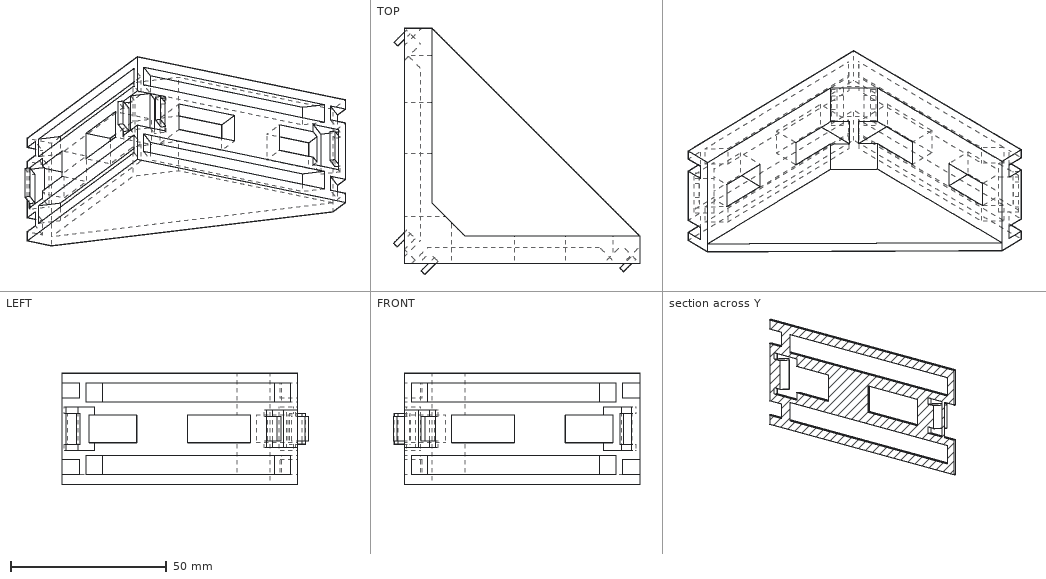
import cadquery as cq

LEG_LENGTH = 76.0
LEG_THICKNESS = 8.85
HEIGHT = 36.0
MID_HEIGHT = HEIGHT / 2
CORNER_GUSSET_REACH = 19.6
RIM = 3.25
WEB_THICKNESS = RIM

GROOVE_START = 2.3
GROOVE_END = 68.2
GROOVE_HEIGHT = 6.15
GROOVE_DEPTH = 5.2

NOTCH_SIZE = 5.6
NOTCH_HEIGHT = 4.85

WINDOWS = [(15.25, 35.45), (51.9, 67.2)]
WINDOW_HEIGHT = 8.9

TAB_DIAGONAL = 2.4
TAB_INSET = 2.0

CORNER_BEVEL = 4.6
CORNER_POCKET_EDGE = 10.1
CORNER_POCKET_FLOOR_LEVEL = 11.6
CORNER_POCKET_HEIGHT = 12.0
CORNER_TAB_PROTRUSION = 3.54
CORNER_TAB_TIP_LEVEL = CORNER_POCKET_EDGE - 2 * CORNER_TAB_PROTRUSION

X_LEG_END_POCKET_EDGE = 73.3
Y_LEG_END_POCKET_EDGE = 74.7
END_POCKET_WIDTH = 9.15
END_POCKET_FLOOR_LEVEL = 76
END_POCKET_HEIGHT = 14.0
END_TAB_TIP_LEVEL = 68.05


def prism(points, bottom, height):
    """Vertical prism over an XY polygon."""
    return cq.Workplane("XY").workplane(offset=bottom).polyline(points).close().extrude(height)


def leg_prism(points, bottom, height, on_x_leg):
    """Vertical prism over an (along, depth) polygon on one of the two legs."""
    if not on_x_leg:
        points = [(depth, along) for along, depth in points]
    return prism(points, bottom, height)


def diagonal_bar(near_edge, far_edge, outer_level, inner_level, height, on_x_leg):
    """Mid-height bar at 45 degrees; its sides cross the outer face at the two edges."""
    corners = [
        (near_edge, outer_level),
        (near_edge, inner_level),
        (far_edge, inner_level),
        (far_edge, outer_level),
    ]
    points = [((level + edge) / 2, (level - edge) / 2) for edge, level in corners]
    return leg_prism(points, MID_HEIGHT - height / 2, height, on_x_leg)


def make_body():
    legs = prism(
        [
            (0, 0),
            (LEG_LENGTH, 0),
            (LEG_LENGTH, LEG_THICKNESS),
            (CORNER_GUSSET_REACH, LEG_THICKNESS),
            (LEG_THICKNESS, CORNER_GUSSET_REACH),
            (LEG_THICKNESS, LEG_LENGTH),
            (0, LEG_LENGTH),
        ],
        0,
        HEIGHT,
    )
    web = prism(
        [
            (0, 0),
            (LEG_LENGTH, 0),
            (LEG_LENGTH, LEG_THICKNESS),
            (LEG_THICKNESS, LEG_LENGTH),
            (0, LEG_LENGTH),
        ],
        0,
        WEB_THICKNESS,
    )
    return legs.union(web)


def cut_grooves(body, on_x_leg):
    outline = [
        (GROOVE_START, 0),
        (GROOVE_END, 0),
        (GROOVE_END - GROOVE_DEPTH, GROOVE_DEPTH),
        (GROOVE_START + GROOVE_DEPTH, GROOVE_DEPTH),
    ]
    for bottom in (RIM, HEIGHT - RIM - GROOVE_HEIGHT):
        body = body.cut(leg_prism(outline, bottom, GROOVE_HEIGHT, on_x_leg))
    return body


def cut_end_notches(body, on_x_leg):
    outline = [(LEG_LENGTH - NOTCH_SIZE, 0), (LEG_LENGTH, 0), (LEG_LENGTH, NOTCH_SIZE)]
    for bottom in (RIM, HEIGHT - RIM - NOTCH_HEIGHT):
        body = body.cut(leg_prism(outline, bottom, NOTCH_HEIGHT, on_x_leg))
    return body


def cut_windows(body, on_x_leg):
    bottom = MID_HEIGHT - WINDOW_HEIGHT / 2
    for start, end in WINDOWS:
        outline = [(start, 0), (end, 0), (end, CORNER_GUSSET_REACH), (start, CORNER_GUSSET_REACH)]
        body = body.cut(leg_prism(outline, bottom, WINDOW_HEIGHT, on_x_leg))
    return body


def cut_corner_bevel(body):
    outline = [(0, 0), (CORNER_BEVEL, 0), (0, CORNER_BEVEL)]
    return body.cut(prism(outline, MID_HEIGHT - CORNER_POCKET_HEIGHT / 2, CORNER_POCKET_HEIGHT))


def add_pocket_with_tab(body, near_edge, far_edge, floor_level, tip_level, height, on_x_leg):
    """Cut a diagonal pocket and stand a tab on its floor, flush with its far side."""
    pocket = diagonal_bar(near_edge, far_edge, near_edge, floor_level, height, on_x_leg)
    tab_start = far_edge - TAB_DIAGONAL
    tab_height = height - 2 * TAB_INSET
    tab = diagonal_bar(tab_start, far_edge, tip_level, floor_level, tab_height, on_x_leg)
    return body.cut(pocket).union(tab)


result = cut_corner_bevel(make_body())
for is_x_leg, end_pocket_edge in ((True, X_LEG_END_POCKET_EDGE), (False, Y_LEG_END_POCKET_EDGE)):
    result = cut_grooves(result, is_x_leg)
    result = cut_end_notches(result, is_x_leg)
    result = cut_windows(result, is_x_leg)
    result = add_pocket_with_tab(
        result,
        CORNER_BEVEL,
        CORNER_POCKET_EDGE,
        CORNER_POCKET_FLOOR_LEVEL,
        CORNER_TAB_TIP_LEVEL,
        CORNER_POCKET_HEIGHT,
        is_x_leg,
    )
    result = add_pocket_with_tab(
        result,
        end_pocket_edge - END_POCKET_WIDTH,
        end_pocket_edge,
        END_POCKET_FLOOR_LEVEL,
        END_TAB_TIP_LEVEL,
        END_POCKET_HEIGHT,
        is_x_leg,
    )